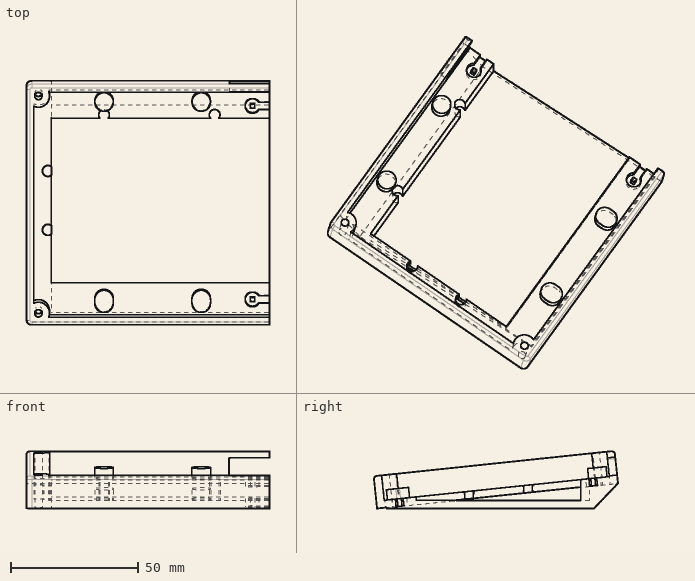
import cadquery as cq
import math

tilt = 6
tray_width = 95.4
tray_length = 95.1
tray_height = 12.8
wall = 3.2
side_wall = 2.9
shelf = 3.0
corner_radius = 2.0
rim_radius = 1.3

screw_inset = 4.7
post_radius = 4.4
screw_radius = 1.4

peg_xs = (30.45, 68.6)
peg_radius = 3.6
peg_height = 4.0
back_peg_y = 87.4
front_peg_y = 8.8
front_peg_stretch = 1.4

keyhole_x = 88.7
keyhole_ys = (9.1, 85.4)
keyhole_radius = 2.9
keyhole_slot = 3.1
pin_size = 1.6

gap_start = 79.5
gap_bottom = shelf + 0.3
gap_top = tray_height - 2.5
gap_radius = 0.5

foot_start = 9.8
foot_thickness = 3.3
foot_chamfer = 9.5
foot_front = 3.8
window_front = 15.4
window_back = 79.9

notch_radius = 2.1
notch_inset = 1.3
back_notch_xs = (30.45, 73.8)
side_notch_spacing = 23.1

angle = math.radians(tilt)
back_y = tray_length * math.cos(angle)
back_z = tray_length * math.sin(angle)


def box(x0, x1, y0, y1, z0, z1):
    """Block between two opposite corners."""
    return cq.Workplane("XY").box(x1 - x0, y1 - y0, z1 - z0, centered=False).translate((x0, y0, z0))


def cylinder(x, y, radius, z0, z1):
    """Upright cylinder between two heights."""
    return cq.Workplane("XY", origin=(x, y, z0)).circle(radius).extrude(z1 - z0)


def tray_shell():
    """Open-ended tray with rounded left corners and rim, and its screw posts."""
    body = box(0, tray_width, 0, tray_length, 0, tray_height)
    body = body.edges("|Z and <X").fillet(corner_radius)
    body = body.faces(">Z").edges("not >X").fillet(rim_radius)
    cavity = box(side_wall, tray_width, wall, tray_length - wall, shelf, tray_height)
    screw_ys = (screw_inset, tray_length - screw_inset)
    for y in screw_ys:
        cavity = cavity.cut(cylinder(screw_inset, y, post_radius, shelf, tray_height))
    body = body.cut(cavity)
    for y in screw_ys:
        body = body.cut(cylinder(screw_inset, y, screw_radius, 0, tray_height))
    return body


def back_wall_gap():
    """Cutter for the gap, which leaves a thin bar along the rim."""
    gap = box(gap_start, tray_width, tray_length - wall, tray_length, gap_bottom, gap_top)
    return gap.edges("|Y and <X and >Z").fillet(gap_radius)


def pegs():
    """Round pegs at the back and slightly elongated ones at the front."""
    top = shelf + peg_height
    solids = cq.Workplane("XY")
    for x in peg_xs:
        solids = solids.add(cylinder(x, back_peg_y, peg_radius, shelf, top))
        front_peg = (
            cq.Workplane("XY", origin=(x, front_peg_y, shelf))
            .slot2D(2 * peg_radius + front_peg_stretch, 2 * peg_radius, 90)
            .extrude(peg_height)
        )
        solids = solids.add(front_peg)
    return solids.combine()


def keyhole(y):
    """Cutter through the shelf, open to the right, around its pin."""
    slot = box(keyhole_x, tray_width, y - keyhole_slot / 2, y + keyhole_slot / 2, 0, shelf)
    pin = cq.Workplane("XY", origin=(keyhole_x, y, 0)).rect(pin_size, pin_size).extrude(shelf)
    return cylinder(keyhole_x, y, keyhole_radius, 0, shelf).union(slot).cut(pin)


def foot():
    """Level wedge below the tray, chamfered at the back."""
    outline = [
        (foot_front, 0),
        (back_y - foot_chamfer, 0),
        (back_y, back_z),
        (foot_front, foot_front * math.tan(angle)),
    ]
    return (
        cq.Workplane("YZ", origin=(foot_start, 0, 0))
        .polyline(outline).close()
        .extrude(tray_width - foot_start)
    )


def window():
    """Cutter above the level foot, reaching out below the tray floor."""
    top = back_z + tray_height
    cutter = box(foot_start, tray_width, window_front, window_back, foot_thickness, top)
    below_tray = (
        cq.Workplane("YZ", origin=(foot_start, 0, 0))
        .polyline([
            (foot_thickness / math.tan(angle), foot_thickness),
            (window_back, foot_thickness),
            (window_back, window_back * math.tan(angle)),
        ]).close()
        .extrude(tray_width - foot_start)
    )
    cutter = cutter.union(below_tray)
    for x in back_notch_xs:
        cutter = cutter.union(cylinder(x, window_back + notch_inset, notch_radius, foot_thickness, top))
    middle = (window_front + window_back) / 2
    for side in (-1, 1):
        y = middle + side * side_notch_spacing / 2
        cutter = cutter.union(cylinder(foot_start - notch_inset, y, notch_radius, foot_thickness, top))
    return cutter


def raised(solid):
    """Tip a solid about the front bottom edge."""
    return solid.rotate((0, 0, 0), (1, 0, 0), tilt)


tray = tray_shell().cut(back_wall_gap())
for keyhole_y in keyhole_ys:
    tray = tray.cut(keyhole(keyhole_y))

result = raised(tray).union(foot()).cut(window()).union(raised(pegs()))